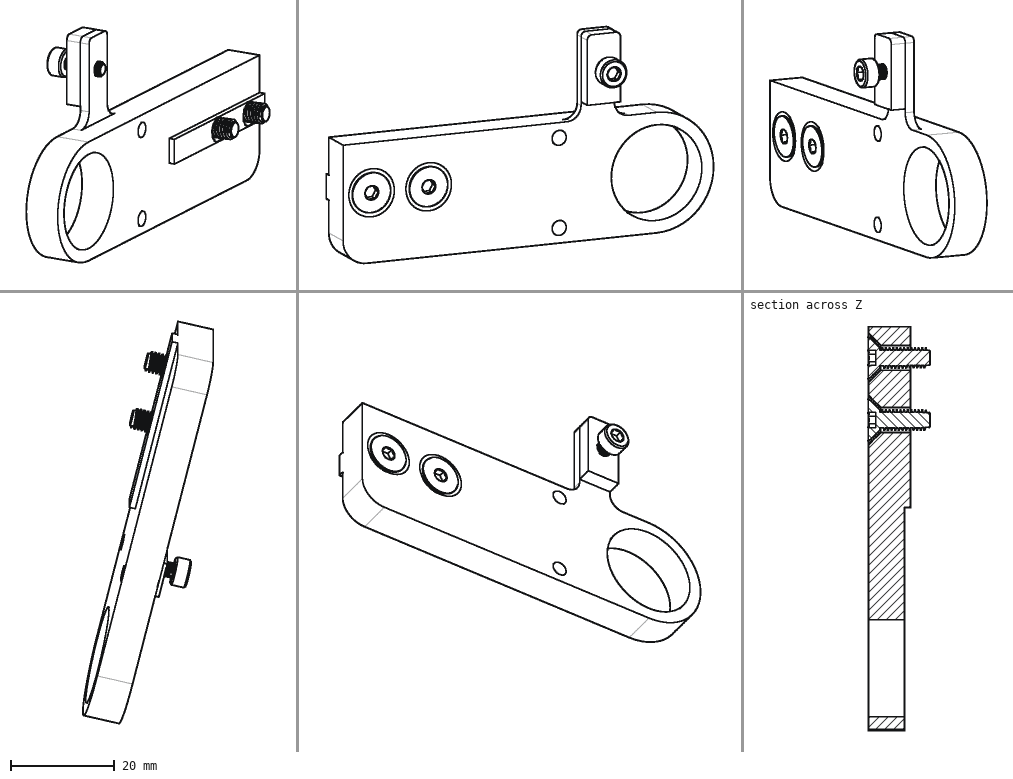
import cadquery as cq
import math


LENGTH = 78.0
PLATE_HEIGHT = 24.0
PLATE_THICKNESS = 7.0
END_RADIUS = PLATE_HEIGHT / 2
TAIL_Y = LENGTH - END_RADIUS
TAIL_CORNER_RADIUS = 5.0
BORE_DIAMETER = 19.0

SMALL_HOLE_DIAMETER = 3.0
SMALL_HOLE_Y = 20.5
SMALL_HOLE_SPACING = 17.95

TAB_Y = 12.4
TAB_WIDTH = 7.0
TAB_THICKNESS = 1.95
TAB_TOP_Z = 29.65
TAB_ROOT_RADIUS = 3.0
TAB_CORNER_RADIUS = 1.0
BLOCK_HEIGHT = 14.0
BLOCK_THICKNESS = 3.05

RAIL_LENGTH = 34.95
RAIL_HEIGHT = 5.0
RAIL_THICKNESS = 1.2
MOUNT_Z = 1.95
MOUNT_END_DISTANCE = 6.0
MOUNT_SPACING = 12.0
MOUNT_YS = [TAIL_Y - MOUNT_END_DISTANCE - i * MOUNT_SPACING for i in range(2)]
MOUNT_HOLE_DIAMETER = 4.75
COUNTERSINK_DIAMETER = 9.6

SOCKET_ACROSS_FLATS = 2.5
SOCKET_ACROSS_CORNERS = SOCKET_ACROSS_FLATS / math.cos(math.pi / 6)
SOCKET_DEPTH = 1.5

RIDGE_ROOT_SHARE = 0.8
RIDGE_CREST_SHARE = 0.2
RIDGE_ROOT_DEPTH = 0.15
TIP_CHAMFER = 0.15

MOUNT_TILT_DEGREES = 2.4
MOUNT_THREAD_DIAMETER = 4.0
MOUNT_CORE_DIAMETER = 3.1
MOUNT_PITCH = 0.7
MOUNT_LENGTH = 12.0
MOUNT_HEAD_DIAMETER = 8.0
MOUNT_RIM_HEIGHT = 0.3
MOUNT_HEAD_X = -0.1
MOUNT_RIM_X = MOUNT_HEAD_X + MOUNT_RIM_HEIGHT
MOUNT_NECK_X = MOUNT_RIM_X + (MOUNT_HEAD_DIAMETER - MOUNT_THREAD_DIAMETER) / 2
MOUNT_TIP_X = MOUNT_HEAD_X + MOUNT_LENGTH

CAP_THREAD_DIAMETER = 3.0
CAP_CORE_DIAMETER = 2.35
CAP_PITCH = 0.5
CAP_HEAD_DIAMETER = 5.5
CAP_HEAD_HEIGHT = 3.05
CAP_HEAD_CHAMFER = 0.3
CAP_HEAD_X = -8.0
CAP_TIP_X = 3.05
CAP_TOP_DISTANCE = 6.95
CAP_Z = TAB_TOP_Z - CAP_TOP_DISTANCE


def box(x_range, y_range, z_range):
    """Box between the given limits."""
    corner = cq.Vector(x_range[0], y_range[0], z_range[0])
    sizes = [limits[1] - limits[0] for limits in (x_range, y_range, z_range)]
    return cq.Workplane(cq.Solid.makeBox(*sizes, corner))


def rod(diameter, x_start, x_end, y=0.0, z=0.0):
    """Cylinder along +X."""
    start = cq.Vector(x_start, y, z)
    return cq.Workplane(cq.Solid.makeCylinder(diameter / 2, x_end - x_start, start, cq.Vector(1, 0, 0)))


def cone(start_diameter, end_diameter, x_start, x_end, y=0.0, z=0.0):
    """Truncated cone along +X."""
    start = cq.Vector(x_start, y, z)
    return cq.Workplane(
        cq.Solid.makeCone(start_diameter / 2, end_diameter / 2, x_end - x_start, start, cq.Vector(1, 0, 0))
    )


def tab_slab(x_start, x_end, z_bottom):
    """Upright slab of the tab's width, with its two top corners rounded."""
    y_range = (TAB_Y - TAB_WIDTH / 2, TAB_Y + TAB_WIDTH / 2)
    slab = box((x_start, x_end), y_range, (z_bottom, TAB_TOP_Z))
    return slab.edges("|X and >Z").fillet(TAB_CORNER_RADIUS)


def tab_root_fillet(side):
    """Concave fillet between the tab's side (+1 or -1 along Y) and the plate's top edge."""
    inner_y = TAB_Y + side * TAB_WIDTH / 2
    outer_y = inner_y + side * TAB_ROOT_RADIUS
    top_z = END_RADIUS + TAB_ROOT_RADIUS
    y_range = (min(inner_y, outer_y), max(inner_y, outer_y))
    corner = box((0, TAB_THICKNESS), y_range, (END_RADIUS, top_z))
    return corner.cut(rod(2 * TAB_ROOT_RADIUS, 0, TAB_THICKNESS, outer_y, top_z))


def make_plate():
    """Plate with its bore, tab, rear rail and screw holes."""
    body = box((0, PLATE_THICKNESS), (0, TAIL_Y), (-END_RADIUS, END_RADIUS))
    body = body.edges("|X and >Y and <Z").fillet(TAIL_CORNER_RADIUS)
    body = body.union(rod(PLATE_HEIGHT, 0, PLATE_THICKNESS))

    body = body.union(tab_slab(0, TAB_THICKNESS, 0))
    for side in (-1, 1):
        body = body.union(tab_root_fillet(side))
    body = body.cut(rod(CAP_THREAD_DIAMETER, 0, TAB_THICKNESS, TAB_Y, CAP_Z))

    rear_x = PLATE_THICKNESS + RAIL_THICKNESS
    rail_z_range = (MOUNT_Z - RAIL_HEIGHT / 2, MOUNT_Z + RAIL_HEIGHT / 2)
    body = body.union(box((PLATE_THICKNESS, rear_x), (TAIL_Y - RAIL_LENGTH, TAIL_Y), rail_z_range))

    body = body.cut(rod(BORE_DIAMETER, 0, PLATE_THICKNESS))
    for side in (-1, 1):
        hole_z = side * SMALL_HOLE_SPACING / 2
        body = body.cut(rod(SMALL_HOLE_DIAMETER, 0, PLATE_THICKNESS, SMALL_HOLE_Y, hole_z))

    countersink_depth = (COUNTERSINK_DIAMETER - MOUNT_HOLE_DIAMETER) / 2
    for y in MOUNT_YS:
        body = body.cut(rod(MOUNT_HOLE_DIAMETER, 0, rear_x, y, MOUNT_Z))
        body = body.cut(cone(COUNTERSINK_DIAMETER, MOUNT_HOLE_DIAMETER, 0, countersink_depth, y, MOUNT_Z))
    return body


def make_block():
    """Block against the front of the tab, with the cap screw's hole."""
    block = tab_slab(-BLOCK_THICKNESS, 0, TAB_TOP_Z - BLOCK_HEIGHT)
    return block.cut(rod(CAP_THREAD_DIAMETER, -BLOCK_THICKNESS, 0, TAB_Y, CAP_Z))


def thread_ridge(thread_diameter, core_diameter, pitch, x_start, x_end):
    """Helical ridge around the X axis, filling the span from x_start to x_end."""
    core_radius = core_diameter / 2
    crest_radius = thread_diameter / 2
    root_radius = core_radius - RIDGE_ROOT_DEPTH
    root_half_width = RIDGE_ROOT_SHARE * pitch / 2
    crest_half_width = RIDGE_CREST_SHARE * pitch / 2
    helix_length = x_end - x_start - 2 * root_half_width
    helix = cq.Wire.makeHelix(pitch, helix_length, core_radius)
    return (
        cq.Workplane("XZ")
        .moveTo(root_radius, -root_half_width)
        .lineTo(crest_radius, -crest_half_width)
        .lineTo(crest_radius, crest_half_width)
        .lineTo(root_radius, root_half_width)
        .close()
        .sweep(cq.Workplane(helix), isFrenet=True)
        .rotate((0, 0, 0), (0, 1, 0), 90)
        .translate((x_start + root_half_width, 0, 0))
    )


def shank_core(core_diameter, x_start, x_end):
    """Core of a threaded shank, chamfered at its tip."""
    return rod(core_diameter, x_start, x_end).faces(">X").chamfer(TIP_CHAMFER)


def hex_socket(x_face):
    """Hexagonal recess opening at x_face, with a conical lead-in to its corners."""
    hexagon = (
        cq.Workplane("YZ", origin=(x_face, 0, 0))
        .polygon(6, SOCKET_ACROSS_CORNERS)
        .extrude(SOCKET_DEPTH)
    )
    lead_in_depth = (SOCKET_ACROSS_CORNERS - SOCKET_ACROSS_FLATS) / 2
    lead_in = cone(SOCKET_ACROSS_CORNERS, SOCKET_ACROSS_FLATS, x_face, x_face + lead_in_depth)
    return hexagon.union(lead_in)


def make_mount_screw():
    """Countersunk screw tilted from the X axis about the centre of its head."""
    screw = rod(MOUNT_HEAD_DIAMETER, MOUNT_HEAD_X, MOUNT_RIM_X)
    screw = screw.union(cone(MOUNT_HEAD_DIAMETER, MOUNT_THREAD_DIAMETER, MOUNT_RIM_X, MOUNT_NECK_X))
    screw = screw.union(shank_core(MOUNT_CORE_DIAMETER, MOUNT_NECK_X, MOUNT_TIP_X))
    screw = screw.cut(hex_socket(MOUNT_HEAD_X))
    ridge_end_x = MOUNT_TIP_X - TIP_CHAMFER
    ridge = thread_ridge(MOUNT_THREAD_DIAMETER, MOUNT_CORE_DIAMETER, MOUNT_PITCH, MOUNT_NECK_X, ridge_end_x)
    screw = screw.union(ridge)
    return screw.rotate((0, 0, 0), (0, 1, 0), -MOUNT_TILT_DEGREES)


def make_cap_screw():
    """Cap screw through the block and the tab."""
    neck_x = CAP_HEAD_X + CAP_HEAD_HEIGHT
    screw = rod(CAP_HEAD_DIAMETER, CAP_HEAD_X, neck_x).edges().chamfer(CAP_HEAD_CHAMFER)
    screw = screw.union(shank_core(CAP_CORE_DIAMETER, neck_x, CAP_TIP_X))
    screw = screw.cut(hex_socket(CAP_HEAD_X))
    ridge_end_x = CAP_TIP_X - TIP_CHAMFER
    ridge = thread_ridge(CAP_THREAD_DIAMETER, CAP_CORE_DIAMETER, CAP_PITCH, neck_x, ridge_end_x)
    screw = screw.union(ridge)
    return screw.translate((0, TAB_Y, CAP_Z))


plate = make_plate()
block = make_block()
mount_screw = make_mount_screw()
mount_screws = [mount_screw.translate((0, y, MOUNT_Z)) for y in MOUNT_YS]
cap_screw = make_cap_screw()

result = cq.Compound.makeCompound(
    [plate.val(), block.val(), *[screw.val() for screw in mount_screws], cap_screw.val()]
)